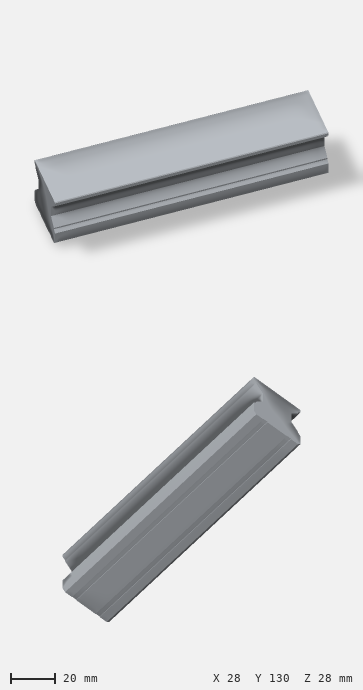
import cadquery as cq

rail_length = 130.0
rail_width = 28.0
rail_height = 28.0
half_width = rail_width / 2

web_inset = 5.5
step_inset = 1.5
flank_rise = web_inset - step_inset
bevel_rise = 1.3
top_chamfer = 0.4
base_chamfer = 1.5

lip_bottom = rail_height - 1.8
upper_step_top = lip_bottom - bevel_rise
upper_step_bottom = rail_height - 4.0
web_top = upper_step_bottom - flank_rise

shoulder_bottom = 7.7
shoulder_top = shoulder_bottom + bevel_rise
lower_step_top = 9.8
web_bottom = lower_step_top + flank_rise

groove_offset = 7.0
groove_width = 2.5
groove_depth = 0.4

plug_count = 3
plug_pitch = 40.0
plug_diameter = 14.0
plug_depth = 1.3


def rail_body():
    """Extrude the symmetric rail section along Y, centred on the origin."""
    step_x = half_width - step_inset
    web_x = half_width - web_inset
    right_side = [
        (half_width - base_chamfer, 0),
        (half_width, base_chamfer),
        (half_width, shoulder_bottom),
        (step_x, shoulder_top),
        (step_x, lower_step_top),
        (web_x, web_bottom),
        (web_x, web_top),
        (step_x, upper_step_bottom),
        (step_x, upper_step_top),
        (half_width, lip_bottom),
        (half_width, rail_height - top_chamfer),
        (half_width - top_chamfer, rail_height),
    ]
    left_side = [(-x, z) for x, z in reversed(right_side)]
    section = cq.Workplane("XZ").polyline(right_side + left_side).close()
    return section.extrude(rail_length / 2, both=True)


def base_grooves():
    """Full-length cutters for the pair of relief grooves in the base."""
    pair = cq.Workplane("XY").pushPoints([(-groove_offset, 0), (groove_offset, 0)])
    return pair.rect(groove_width, rail_length).extrude(groove_depth)


def top_plugs():
    """Plugs evenly spaced about the middle of the rail, level with its top face."""
    row = cq.Workplane("XY", origin=(0, 0, rail_height)).rarray(1.3, plug_pitch, 1, plug_count)
    return row.circle(plug_diameter / 2).extrude(-plug_depth)


plugs = top_plugs()
rail = rail_body().cut(base_grooves())

result = rail.cut(plugs).union(plugs, clean=False)